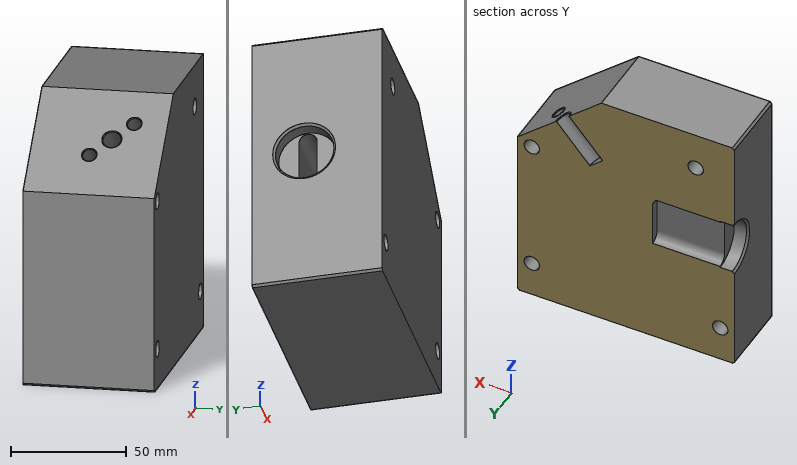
import cadquery as cq
import math

LENGTH = 106.0
WIDTH = 58.0
HEIGHT = 123.0
CORNER_CHAMFER = 1.0

SLOPE_RUN = 41.0
SLOPE_DROP = 35.6
SLOPE_TILT = math.atan2(SLOPE_DROP, SLOPE_RUN)

MOUNT_DIAMETER = 7.3
MOUNT_LOWER_Z = 17.8
MOUNT_LEFT_X = 7.0
MOUNT_RIGHT_X = LENGTH - 7.0
MOUNT_POSITIONS = [
    (MOUNT_LEFT_X, MOUNT_LOWER_Z),
    (MOUNT_RIGHT_X, MOUNT_LOWER_Z),
    (MOUNT_RIGHT_X, 84.2),
    (19.0, 104.3),
]

AXIS_Y = WIDTH - 23.25

BORE_Z = 65.5
BORE_DIAMETER = 26.0
BORE_DEPTH = 7.0
BORE_CHAMFER = 1.0

SLOT_WIDTH = 8.0
SLOT_HEIGHT = BORE_DIAMETER - 1.0
SLOT_END_X = 40.0
SLOT_ROOF_RADIUS = 5.5

SLOPE_HOLES_FROM_END = 22.0
CENTRE_HOLE_DIAMETER = 8.0
SIDE_HOLE_DIAMETER = 6.0
SIDE_HOLE_OFFSET = 8.6
SLOPE_HOLE_DEPTH = 25.0
SLOPE_HOLE_CHAMFER = 0.4


def make_block():
    outline = [
        (0, 0),
        (LENGTH, 0),
        (LENGTH, HEIGHT - SLOPE_DROP),
        (LENGTH - SLOPE_RUN, HEIGHT),
        (0, HEIGHT),
    ]
    block = cq.Workplane("XZ").polyline(outline).close().extrude(-WIDTH)
    left_edges = block.edges("|Y and <X")
    lower_right_edge = block.edges("|Y and >X").edges("<Z")
    return block.newObject(left_edges.vals() + lower_right_edge.vals()).chamfer(CORNER_CHAMFER)


def make_mount_holes():
    return cq.Workplane("XZ").pushPoints(MOUNT_POSITIONS).circle(MOUNT_DIAMETER / 2).extrude(-WIDTH)


def make_bore():
    """Flat-bottomed bore with a chamfered mouth, turned about its own axis."""
    radius = BORE_DIAMETER / 2
    half_section = [
        (0, 0),
        (0, radius + BORE_CHAMFER),
        (BORE_CHAMFER, radius),
        (BORE_DEPTH, radius),
        (BORE_DEPTH, 0),
    ]
    bore = cq.Workplane("XY").polyline(half_section).close().revolve(360, (0, 0, 0), (1, 0, 0))
    return bore.translate((0, AXIS_Y, BORE_Z))


def make_slot():
    """Round-ended slot along X, its roof curving down into the far wall."""
    slot = (
        cq.Workplane("YZ", origin=(0, AXIS_Y, BORE_Z))
        .slot2D(SLOT_HEIGHT, SLOT_WIDTH, 90)
        .extrude(SLOT_END_X)
    )
    straight_half_height = (SLOT_HEIGHT - SLOT_WIDTH) / 2
    envelope_half_height = straight_half_height + SLOT_ROOF_RADIUS
    envelope = (
        cq.Workplane("XY", origin=(0, AXIS_Y, BORE_Z))
        .box(SLOT_END_X, SLOT_WIDTH, 2 * envelope_half_height, centered=(False, True, True))
        .edges("|Y and >X and >Z")
        .fillet(SLOT_ROOF_RADIUS)
    )
    return slot.intersect(envelope)


def make_chamfered_hole(plane, position, diameter):
    """Flat-bottomed hole sunk below the plane, with a 45 degree chamfer at its mouth."""
    start = cq.Workplane(plane).center(*position)
    hole = start.circle(diameter / 2).extrude(-SLOPE_HOLE_DEPTH)
    mouth = start.circle(diameter / 2 + SLOPE_HOLE_CHAMFER).extrude(-SLOPE_HOLE_CHAMFER, taper=45)
    return hole.union(mouth)


def make_slope_holes():
    """Large hole with a smaller one on either side, along a 45 degree line on the slope."""
    centre_x = LENGTH - SLOPE_HOLES_FROM_END
    centre_z = HEIGHT - SLOPE_DROP + SLOPE_HOLES_FROM_END * SLOPE_DROP / SLOPE_RUN
    slope = cq.Plane(
        origin=(centre_x, AXIS_Y, centre_z),
        xDir=(math.cos(SLOPE_TILT), 0, -math.sin(SLOPE_TILT)),
        normal=(math.sin(SLOPE_TILT), 0, math.cos(SLOPE_TILT)),
    )
    side_positions = [
        (-SIDE_HOLE_OFFSET, SIDE_HOLE_OFFSET),
        (SIDE_HOLE_OFFSET, -SIDE_HOLE_OFFSET),
    ]
    holes = make_chamfered_hole(slope, (0, 0), CENTRE_HOLE_DIAMETER)
    for position in side_positions:
        holes = holes.union(make_chamfered_hole(slope, position, SIDE_HOLE_DIAMETER))
    return holes


result = (
    make_block()
    .cut(make_mount_holes())
    .cut(make_bore())
    .cut(make_slot())
    .cut(make_slope_holes())
)